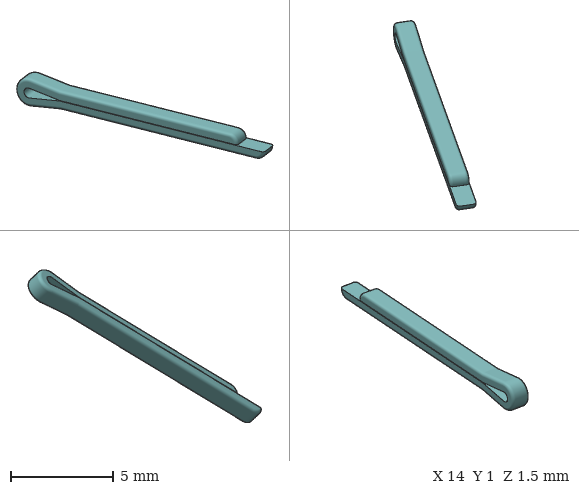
import cadquery as cq
import math

length = 14.0
width = 1.0
eye_radius = 0.749
leg_gap = 0.03
leg_outer = width / 2
leg_inner = leg_gap / 2
leg_thickness = leg_outer - leg_inner
short_leg_end = 12.5
edge_fillet = 0.17

bend_x = 2.53
bend_radius = 0.18
bend_z = leg_outer + bend_radius
eye_x = eye_radius

bend_distance = math.hypot(bend_x - eye_x, bend_z)
bend_direction = math.atan2(bend_x - eye_x, bend_z)
slope = bend_direction - math.acos((eye_radius + bend_radius) / bend_distance)


def eye_point(radius, angle):
    """Point around the eye centre, with the angle measured from +Z toward +X."""
    return (eye_x + radius * math.sin(angle), radius * math.cos(angle))


def bend_point(radius, angle):
    """Point around the bend centre, with the angle measured from -Z toward -X."""
    return (bend_x - radius * math.sin(angle), bend_z - radius * math.cos(angle))


def mirrored(point):
    """Reflect a profile point across the mid-plane between the legs."""
    return (point[0], -point[1])


def tip_point(end_x, angle):
    """Point on a leg's rounded tip, with the angle measured from +X toward +Z."""
    return (
        end_x - leg_thickness + leg_thickness * math.cos(angle),
        leg_inner + leg_thickness * math.sin(angle),
    )


def pin_profile():
    """Side outline: around the outside of the wire, then back along the inside."""
    inner_eye = eye_radius - leg_thickness
    inner_bend = bend_radius + leg_thickness
    quarter = math.pi / 2
    return (
        cq.Workplane("XZ", origin=(0, width / 2, 0))
        .moveTo(*tip_point(short_leg_end, 0))
        .threePointArc(tip_point(short_leg_end, quarter / 2), tip_point(short_leg_end, quarter))
        .lineTo(*bend_point(bend_radius, 0))
        .threePointArc(bend_point(bend_radius, slope / 2), bend_point(bend_radius, slope))
        .lineTo(*eye_point(eye_radius, slope))
        .threePointArc((0, 0), mirrored(eye_point(eye_radius, slope)))
        .lineTo(*mirrored(bend_point(bend_radius, slope)))
        .threePointArc(mirrored(bend_point(bend_radius, slope / 2)), mirrored(bend_point(bend_radius, 0)))
        .lineTo(*mirrored(tip_point(length, quarter)))
        .threePointArc(mirrored(tip_point(length, quarter / 2)), mirrored(tip_point(length, 0)))
        .lineTo(*mirrored(bend_point(inner_bend, 0)))
        .threePointArc(mirrored(bend_point(inner_bend, slope / 2)), mirrored(bend_point(inner_bend, slope)))
        .lineTo(*mirrored(eye_point(inner_eye, slope)))
        .threePointArc((leg_thickness, 0), eye_point(inner_eye, slope))
        .lineTo(*bend_point(inner_bend, slope))
        .threePointArc(bend_point(inner_bend, slope / 2), bend_point(inner_bend, 0))
        .close()
    )


outer_eye_edges = cq.selectors.BoxSelector(
    (0, -width, -eye_radius),
    (leg_thickness, width, eye_radius),
)
pin = pin_profile().extrude(width)
result = pin.edges(outer_eye_edges).fillet(edge_fillet)